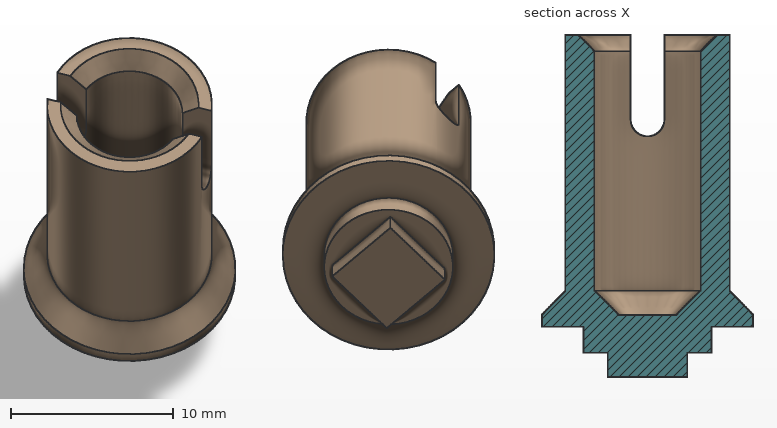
import cadquery as cq

total_height = 21.0
foot_height = 1.5
boss_height = 1.6
rim_height = 0.74
flare_height = 1.47
boss_bottom = foot_height
flange_bottom = boss_bottom + boss_height
flare_bottom = flange_bottom + rim_height
tube_bottom = flare_bottom + flare_height

foot_width = 4.9
boss_diameter = 7.9
flange_diameter = 13.0
tube_diameter = 10.12

mouth_diameter = 8.48
bore_diameter = 6.5
floor_diameter = 3.53
mouth_depth = (mouth_diameter - bore_diameter) / 2
floor_cone_height = (bore_diameter - floor_diameter) / 2
floor_level = flare_bottom

slot_width = 2.05
slot_depth = 6.22


def make_body():
    """Revolve the half section of the boss, flange and bored tube."""
    half_section = [
        (0, boss_bottom),
        (boss_diameter / 2, boss_bottom),
        (boss_diameter / 2, flange_bottom),
        (flange_diameter / 2, flange_bottom),
        (flange_diameter / 2, flare_bottom),
        (tube_diameter / 2, tube_bottom),
        (tube_diameter / 2, total_height),
        (mouth_diameter / 2, total_height),
        (bore_diameter / 2, total_height - mouth_depth),
        (bore_diameter / 2, floor_level + floor_cone_height),
        (floor_diameter / 2, floor_level),
        (0, floor_level),
    ]
    return cq.Workplane("XZ").polyline(half_section).close().revolve(360, (0, 0), (0, 1))


def make_foot():
    """Square foot under the boss."""
    return cq.Workplane("XY").rect(foot_width, foot_width).extrude(foot_height)


def make_slot():
    """Round-bottomed cutter spanning the whole tube along X."""
    half_width = slot_width / 2
    slot_bottom = total_height - slot_depth
    arc_center = slot_bottom + half_width
    return (
        cq.Workplane("YZ")
        .moveTo(-half_width, total_height)
        .lineTo(-half_width, arc_center)
        .threePointArc((0, slot_bottom), (half_width, arc_center))
        .lineTo(half_width, total_height)
        .close()
        .extrude(tube_diameter / 2, both=True)
    )


result = make_body().union(make_foot()).cut(make_slot())